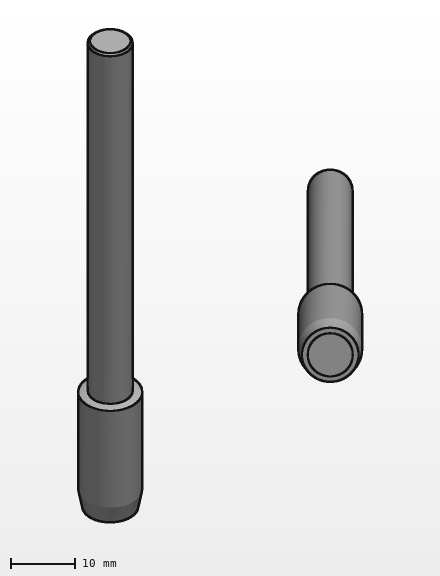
import cadquery as cq

total_length = 90.0
pin_radius = 3.5
pin_chamfer_width = 0.4
pin_chamfer_height = 0.4

sleeve_radius = 4.995
sleeve_length = 22.3
sleeve_foot_radius = 4.4
sleeve_taper_height = 3.2
sleeve_rim_radius = 4.0
sleeve_crown_height = 0.3


def revolve_profile(points):
    """Revolve a closed (radius, height) profile around the Z axis."""
    return cq.Workplane("XZ").polyline(points).close().revolve(360, (0, 0), (0, 1))


def make_pin():
    """Full-length round pin with a chamfered upper end."""
    return revolve_profile([
        (0, 0),
        (pin_radius, 0),
        (pin_radius, total_length - pin_chamfer_height),
        (pin_radius - pin_chamfer_width, total_length),
        (0, total_length),
    ])


def make_sleeve():
    """Sleeve with a tapered foot, a through bore and a shallow conical crown."""
    return revolve_profile([
        (pin_radius, 0),
        (sleeve_foot_radius, 0),
        (sleeve_radius, sleeve_taper_height),
        (sleeve_radius, sleeve_length - sleeve_crown_height),
        (sleeve_rim_radius, sleeve_length),
        (pin_radius, sleeve_length),
    ])


pin = make_pin()
sleeve = make_sleeve()

result = cq.Compound.makeCompound([pin.val(), sleeve.val()])